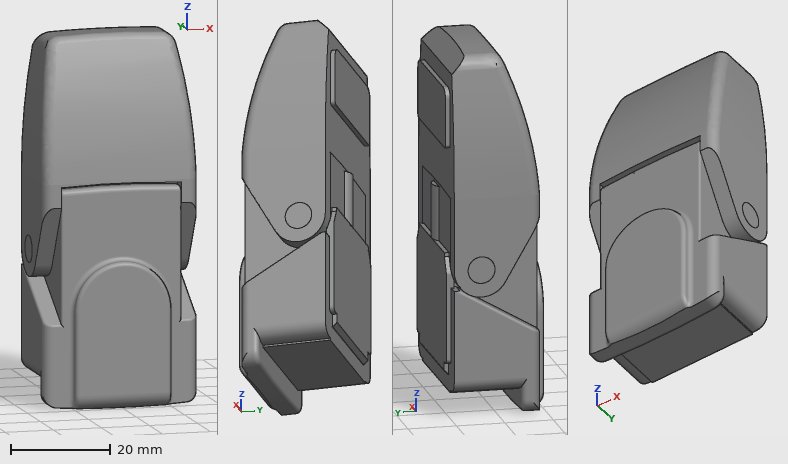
import cadquery as cq
import math


height = 75.0
width = 32.0
half_width = width / 2
front_y = -18.0
crown_radius = 187.5
front_edge_radius = 2.0
back_offset = 1.0

cover_corner_radius = 3.0
taper_start_z = 46.0
taper_radius = 142.5
brow_middle = (-15.6, 60.2)
brow_top_y = -10.2
back_chamfer = 3.45
cover_slope_angle = 60.0
opening_half_width = 12.45
opening_z = 45.8

pin_y = -5.6
pin_z = 31.05
pin_radius = 2.8
knuckle_radius = -pin_y

lever_bottom_z = 4.9
lever_corner_radius = 2.7
flange_back_y = -14.1
flange_edge_radius = 1.05
shoulder_top_z = 26.9
shoulder_flat_depth = 1.2
shoulder_angle = 30.0
shoulder_edge_radius = 0.6
lip_gap = 0.75
lip_depth = 3.0
lip_radius = 1.1
lever_side_radius = 0.45

thumb_radius = 10.0
thumb_center_z = 19.95
thumb_height = 2.0
thumb_foot_radius = 1.0
thumb_edge_radius = 0.9
thumb_round_z = 3.0

pad_bottom_z = 55.8
pad_top_z = 68.1
pad_half_width = 12.4
pad_top_radius = 2.1
pad_bottom_radius = 0.75

barrel_radius = 3.4
barrel_bottom_z = pin_z + pin_radius
barrel_top_z = 45.15

plate_half_width = 13.2
plate_depth = 1.6
plate_shoulder_z = 29.85
plate_slope_top_z = 33.0
plate_slope_angle = 60.0
plate_shoulder_radius = 1.1
plate_tab_z = 10.95
plate_corner_radius = 1.05
plate_tab_inset = 2.25
plate_bottom_z = 8.25
plate_chamfer = 0.9

margin = 0.1


def region(half, y_front, y_back, z_bottom, z_top):
    """Selects what has its center in a box that is symmetric in X."""
    return cq.selectors.BoxSelector(
        (-half - margin, y_front - margin, z_bottom - margin),
        (half + margin, y_back + margin, z_top + margin),
    )


def crown_drop(x):
    """Fall of an arched edge at a distance x from the middle."""
    return crown_radius - math.sqrt(crown_radius**2 - x**2)


def slab(outline, y_back, y_front):
    """Prism between two Y planes from an outline drawn in X and Z at Y = 0."""
    return outline.extrude(y_back - y_front).translate((0, y_back, 0))


def full_width_prism(profile):
    """Prism across the whole width from a profile drawn in Y and Z at X = 0."""
    return profile.extrude(half_width, both=True)


def arched_block(half, z_bottom, z_top, y_back, y_front):
    """Block with an arched top."""
    z_edge = z_top - crown_drop(half)
    outline = (
        cq.Workplane("XZ")
        .moveTo(-half, z_bottom)
        .lineTo(half, z_bottom)
        .lineTo(half, z_edge)
        .threePointArc((0, z_top), (-half, z_edge))
        .close()
    )
    return slab(outline, y_back, y_front)


def make_pin():
    return cq.Workplane("YZ").center(pin_y, pin_z).circle(pin_radius).extrude(half_width, both=True)


def make_mounting_pad():
    outline = cq.Workplane("XZ").center(0, (pad_bottom_z + pad_top_z) / 2).rect(
        2 * pad_half_width, pad_top_z - pad_bottom_z
    )
    pad = slab(outline, back_offset, 0)
    pad = pad.edges("|Y").edges(">Z").fillet(pad_top_radius)
    return pad.edges("|Y").edges("<Z").fillet(pad_bottom_radius)


def make_barrel():
    return (
        cq.Workplane("XY", origin=(0, back_offset - barrel_radius, barrel_bottom_z))
        .circle(barrel_radius)
        .extrude(barrel_top_z - barrel_bottom_z)
    )


def make_plate():
    slope_run = (plate_slope_top_z - plate_shoulder_z) / math.tan(math.radians(plate_slope_angle))
    neck_half = plate_half_width - slope_run
    tab_half = plate_half_width - plate_tab_inset
    outline = cq.Workplane("XZ").polyline(
        [
            (-tab_half, plate_bottom_z),
            (tab_half, plate_bottom_z),
            (tab_half, plate_tab_z),
            (plate_half_width, plate_tab_z),
            (plate_half_width, plate_shoulder_z),
            (neck_half, plate_slope_top_z),
            (neck_half, barrel_bottom_z),
            (-neck_half, barrel_bottom_z),
            (-neck_half, plate_slope_top_z),
            (-plate_half_width, plate_shoulder_z),
            (-plate_half_width, plate_tab_z),
            (-tab_half, plate_tab_z),
        ]
    ).close()
    plate = slab(outline, back_offset, back_offset - plate_depth)
    for side in (-1, 1):
        x = side * plate_half_width
        lower = cq.selectors.NearestToPointSelector((x, 0, plate_tab_z))
        upper = cq.selectors.NearestToPointSelector((x, 0, plate_shoulder_z))
        plate = plate.edges("|Y").edges(lower).fillet(plate_corner_radius)
        plate = plate.edges("|Y").edges(upper).fillet(plate_shoulder_radius)
    return plate.faces("<Z").edges(">Y").chamfer(plate_chamfer)


def cover_half(z):
    """Half width of the cover at a height z on its tapered part."""
    return half_width - taper_radius + math.sqrt(taper_radius**2 - (z - taper_start_z) ** 2)


def make_cover(pin, plate):
    top_edge_z = height - crown_drop(cover_half(height))
    end_half = cover_half(top_edge_z)
    mid_z = (taper_start_z + top_edge_z) / 2
    mid_half = cover_half(mid_z)
    outline = (
        cq.Workplane("XZ")
        .moveTo(-half_width, 0)
        .lineTo(half_width, 0)
        .lineTo(half_width, taper_start_z)
        .threePointArc((mid_half, mid_z), (end_half, top_edge_z))
        .threePointArc((0, height), (-end_half, top_edge_z))
        .threePointArc((-mid_half, mid_z), (-half_width, taper_start_z))
        .close()
    )
    body = slab(outline, 0, front_y)
    body = body.edges("|Y").edges(">Z").fillet(cover_corner_radius)

    brow = (
        cq.Workplane("YZ")
        .moveTo(0, 0)
        .lineTo(front_y, 0)
        .lineTo(front_y, taper_start_z)
        .threePointArc(brow_middle, (brow_top_y, height))
        .lineTo(0, height)
        .close()
    )
    body = body.intersect(full_width_prism(brow))
    front_rim = region(half_width, front_y, brow_top_y, 0, height)
    body = body.edges(front_rim).edges("not |X").fillet(front_edge_radius)

    slope = math.radians(cover_slope_angle)
    tangent_y = pin_y - knuckle_radius * math.sin(slope)
    tangent_z = pin_z - knuckle_radius * math.cos(slope)
    side = (
        cq.Workplane("YZ")
        .moveTo(0, pin_z)
        .threePointArc((pin_y, pin_z - knuckle_radius), (tangent_y, tangent_z))
        .lineTo(front_y, tangent_z + (tangent_y - front_y) * math.tan(slope))
        .lineTo(front_y, height)
        .lineTo(-back_chamfer, height)
        .lineTo(0, height - back_chamfer)
        .close()
    )
    body = body.intersect(full_width_prism(side))

    opening = arched_block(opening_half_width, 0, opening_z, 0, front_y)
    return body.cut(opening).cut(pin).cut(plate)


def arched_foot(z_bottom, y_back, y_front):
    """Full-width slab with an arched bottom and rounded lower corners."""
    z_edge = z_bottom + crown_drop(half_width)
    outline = (
        cq.Workplane("XZ")
        .moveTo(half_width, shoulder_top_z)
        .lineTo(half_width, z_edge)
        .threePointArc((0, z_bottom), (-half_width, z_edge))
        .lineTo(-half_width, shoulder_top_z)
        .close()
    )
    foot = slab(outline, y_back, y_front)
    return foot.edges("|Y").edges("<Z").fillet(lever_corner_radius)


def make_lever_base():
    """Full-width lower part with a finger flange at the front and sloping shoulders."""
    main = arched_foot(lever_bottom_z, 0, flange_back_y - flange_edge_radius)
    flange = arched_foot(0, flange_back_y, front_y)
    flange = flange.faces(">Y").edges("not >Z").fillet(flange_edge_radius)
    base = main.union(flange)

    slope = math.tan(math.radians(shoulder_angle))
    shoulder_front_z = shoulder_top_z + (front_y + shoulder_flat_depth) * slope
    side = cq.Workplane("YZ").polyline(
        [
            (0, 0),
            (0, shoulder_top_z),
            (-shoulder_flat_depth, shoulder_top_z),
            (front_y, shoulder_front_z),
            (front_y, 0),
        ]
    ).close()
    plan = (
        cq.Workplane("XY")
        .center(0, front_y / 2)
        .rect(2 * half_width, -front_y)
        .extrude(height)
        .edges("|Z and <Y")
        .fillet(front_edge_radius)
    )
    base = base.intersect(full_width_prism(side)).intersect(plan)
    rim_top_z = shoulder_top_z - shoulder_edge_radius
    shoulder_rim = region(half_width, front_y, -2 * shoulder_flat_depth, shoulder_front_z, rim_top_z)
    return base.edges(shoulder_rim).fillet(shoulder_edge_radius)


def make_lever_core():
    """Narrow part between the cover arms, with a lip set below the cover's opening."""
    core_bottom_z = lever_bottom_z + lever_corner_radius
    core = arched_block(opening_half_width, core_bottom_z, opening_z, 0, front_y + lip_depth)
    lip = arched_block(opening_half_width, lever_bottom_z, opening_z - lip_gap, 0, front_y)
    lip = lip.faces("<Y").edges(">Z").fillet(lip_radius)
    lip = lip.faces("<Y").edges("|Z").fillet(lever_side_radius)
    return core.union(lip)


def below_lever():
    """Region under the arched bottom of the lever."""
    z_edge = crown_drop(half_width)
    outline = (
        cq.Workplane("XZ")
        .moveTo(-half_width, z_edge)
        .threePointArc((0, 0), (half_width, z_edge))
        .lineTo(half_width, -height)
        .lineTo(-half_width, -height)
        .close()
    )
    return slab(outline, 0, front_y - thumb_height)


def make_thumb_pad():
    """Raised pad with a round top end, an arched bottom and a rounded bottom front edge."""
    top_y = front_y - thumb_height
    outline = (
        cq.Workplane("XZ")
        .moveTo(-thumb_radius, 0)
        .lineTo(thumb_radius, 0)
        .lineTo(thumb_radius, thumb_center_z)
        .threePointArc((0, thumb_center_z + thumb_radius), (-thumb_radius, thumb_center_z))
        .close()
    )
    side = (
        cq.Workplane("YZ")
        .moveTo(front_y, height)
        .lineTo(top_y, height)
        .lineTo(top_y, thumb_round_z)
        .tangentArcPoint((front_y, 0), relative=False)
        .close()
    )
    pad = slab(outline, front_y, top_y).intersect(full_width_prism(side))
    pad = pad.faces("<Y").edges("not <Z").fillet(thumb_edge_radius)
    return pad.cut(below_lever())


def make_lever(pin, plate, barrel):
    lever = make_lever_base().union(make_lever_core()).union(make_thumb_pad())
    front_faces = lever.faces(region(half_width, front_y, front_y, 0, height))
    thumb_top_z = thumb_center_z + thumb_radius
    foot = region(thumb_radius, front_y, front_y, thumb_edge_radius, thumb_top_z)
    lever = front_faces.edges(foot).fillet(thumb_foot_radius)
    return lever.cut(pin).cut(plate).cut(barrel)


pin = make_pin()
plate = make_plate()
barrel = make_barrel()
mounting_pad = make_mounting_pad()
cover = make_cover(pin, plate)
lever = make_lever(pin, plate, barrel)
result = cq.Compound.makeCompound(
    [cover.val(), lever.val(), pin.val(), mounting_pad.val(), plate.val(), barrel.val()]
)